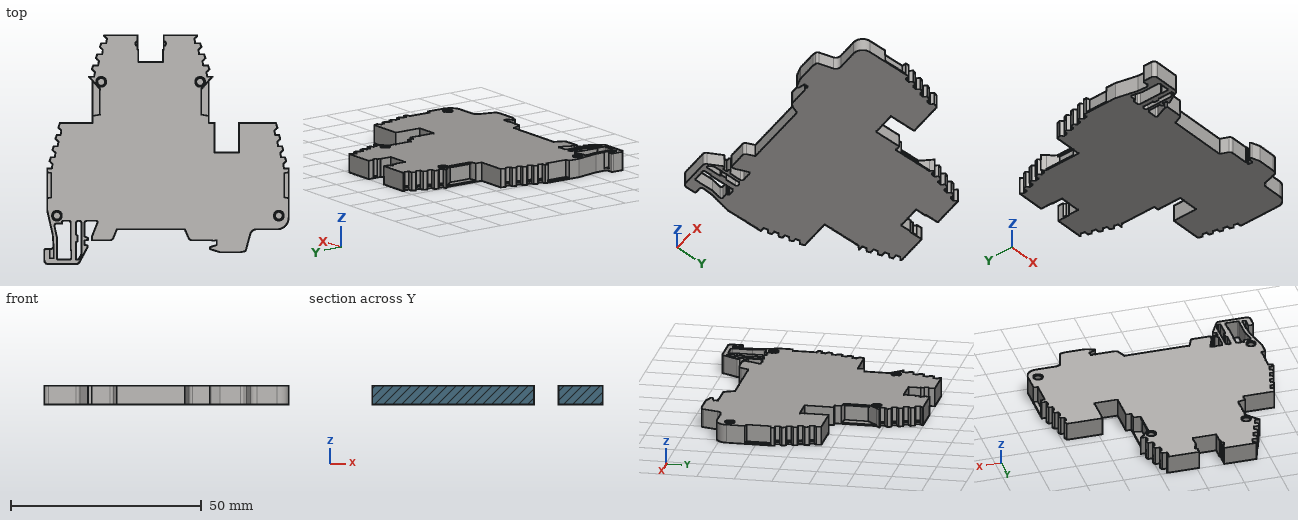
import cadquery as cq
import math

LENGTH = 64.03
HEIGHT = 60.0
THICKNESS = 5.0

UPPER_AXIS = 27.87
UPPER_HALF = 15.25
UPPER_FIRST_TIP = (12.26, 59.8)
UPPER_TOOTH_STEP = 1.05
UPPER_TOP_HALF = 12.1
POINT_HALF = 16.25
POINT_ROOT_Y = 48.1
UPPER_RECESS_HALF = 13.3
UPPER_RECESS_TOP = 45.9
UPPER_RECESS_BOTTOM = 39.15
UPPER_RECESS_END = 38.8

LOWER_HALF = 31.65
LOWER_AXIS = LENGTH - LOWER_HALF
LOWER_LEFT = LOWER_AXIS - LOWER_HALF
LOWER_TOP = 37.0
LOWER_FIRST_TIP = (28.7, 35.75)
LOWER_TOOTH_STEP = 0.77
LOWER_TOP_HALF = 28.3
LOWER_RECESS_DEPTH = 1.15
LOWER_RECESS_TOP = 24.1
LOWER_RECESS_BOTTOM = 17.25
LOWER_RECESS_SLANT = 0.25

TOOTH_COUNT = 4
TOOTH_PITCH = 2.92
TOOTH_LEAN = 0.35
THROAT_IN = 0.78
THROAT_DROP = 0.75
FOOT_IN = 0.58
FOOT_DROP = 1.9
GROOVE_DEPTH = 0.35
GROOVE_BOTTOM = 0.62
GROOVE_TOP = 1.04

RECESS_FLOOR = 0.4
UNDERCUT_DEPTH = 0.4
UNDERCUT_CEILING = 4.5

UPPER_SLOT_HALF = 3.42
UPPER_SLOT_LOWER_HALF = 3.22
UPPER_SLOT_STEP_Y = 56.2
UPPER_SLOT_BOTTOM = 53.0
SLOT_GROOVE_RADIUS = 0.6
SLOT_GROOVE_Y = 57.75
SLOT_GROOVE_FLOOR = 0.4
LOWER_SLOT_LEFT = 44.6
LOWER_SLOT_RIGHT = 50.95
LOWER_SLOT_BOTTOM = 29.3

HOLE_RADIUS = 1.0
HOLE_RIM_RADIUS = 1.3
HOLE_DEPTH = 2.0
UPPER_HOLE_HALF = 12.95
UPPER_HOLE_Y = 47.75
LOWER_HOLE_HALF = 29.05
LOWER_HOLE_Y = 12.7

BASE_Y = 9.1
RAIL_Y = 6.24
RAIL_RIDGE = 0.15
RIGHT_FOOT_Y = 3.1
RIGHT_SEAT_X = 45.15
LEFT_SEAT_X = 12.45
RAIL_ROUND = 1.0
RIGHT_FOOT_ROUND = 1.7
CORNER_ROUND = 3.1

ARM_ROOT_Y = 14.2
ARM_BEND_X = 2.2
ARM_BEND_Y = 7.7
ARM_X = 2.45
ARM_INNER_X = 3.35
ARM_INNER_TOP_X = 2.75
HOOK_ROUND = 1.05
TOE_ROUND = 1.15
POST_LEFT = 6.9
POST_FOOT_LEFT = 7.05
POST_RIGHT = 8.35
POST_BUMP_X = 8.75
SPRING_LEFT = 9.75
SPRING_RIGHT = 10.55
HOOK_TOP = 4.0
HOOK_FILLET = 0.75
HOOK_SLOT_LEFT = 1.5
HOOK_SLOT_BOTTOM = 1.5
HOOK_SLOT_FLOOR = 0.72
WINDOW_TOP = 11.35
WINDOW_BOTTOM = 1.25
WIDE_WINDOW_LEFT_TOP = 10.6
WIDE_WINDOW_ROUND = 0.3
NARROW_WINDOW_ROUND = 0.65
HOLE_WALL_END_X = 4.7
HOLE_WALL_RADIUS = 2.1


def rounded_outline(corners):
    """Closed wire through (x, y, radius) corners; a radius of 0 leaves the corner sharp."""
    path = None
    count = len(corners)
    for i, (x, y, radius) in enumerate(corners):
        if radius == 0:
            path = path.lineTo(x, y) if path else cq.Workplane("XY").moveTo(x, y)
            continue
        here = cq.Vector(x, y)
        before = (cq.Vector(*corners[i - 1][:2]) - here).normalized()
        after = (cq.Vector(*corners[(i + 1) % count][:2]) - here).normalized()
        half_angle = before.getAngle(after) / 2
        setback = radius / math.tan(half_angle)
        bisector = (before + after).normalized()
        start = here + before * setback
        middle = here + bisector * (radius / math.sin(half_angle) - radius)
        end = here + after * setback
        path = path.lineTo(start.x, start.y) if path else cq.Workplane("XY").moveTo(start.x, start.y)
        path = path.threePointArc((middle.x, middle.y), (end.x, end.y))
    return path.close()


def prism(wire, bottom, top):
    return wire.extrude(top - bottom).translate((0, 0, bottom))


def polygon_prism(points, bottom, top):
    return prism(cq.Workplane("XY").polyline(points).close(), bottom, top)


def both_sides(axis, points):
    """The outline given as (distance from axis, y), on the left and on the right of the axis."""
    return [[(axis + side * out, y) for out, y in points] for side in (-1, 1)]


def tooth_tips(first_tip, step):
    out, y = first_tip
    return [(out + i * step, y - i * TOOTH_PITCH) for i in range(TOOTH_COUNT)]


def flank(first_tip, step):
    """Toothed flank from the top down, as (distance from axis, y)."""
    points = []
    for out, y in tooth_tips(first_tip, step):
        if points:
            points.append((out - TOOTH_LEAN, y + TOOTH_PITCH - FOOT_DROP))
        points.append((out, y))
        points.append((out - THROAT_IN, y - THROAT_DROP))
        points.append((out - FOOT_IN, y - FOOT_DROP))
    return points


def upper_tier():
    flank_points = flank(UPPER_FIRST_TIP, UPPER_TOOTH_STEP)
    half = [(UPPER_TOP_HALF, HEIGHT)] + flank_points + [
        (POINT_HALF, flank_points[-1][1]),
        (UPPER_HALF, POINT_ROOT_Y),
        (UPPER_HALF, LOWER_TOP),
    ]
    left, right = both_sides(UPPER_AXIS, half)
    return polygon_prism(left + right[::-1], 0, THICKNESS)


def foot_corners():
    """Lower edge from the clip at the left to the rounded corner at the right."""
    return [
        (LOWER_LEFT, ARM_ROOT_Y, 0),
        (ARM_BEND_X, ARM_BEND_Y, 0),
        (ARM_X, HOOK_TOP, HOOK_FILLET),
        (0, HOOK_TOP, 0.4),
        (0, 0, HOOK_ROUND),
        (8.95, 0, TOE_ROUND),
        (11.65, 5.0, 0.4),
        (SPRING_RIGHT, 5.05, 0),
        (SPRING_RIGHT, 6.2, 0),
        (11.5, 6.35, 0.2),
        (11.5, 6.85, 0.2),
        (SPRING_RIGHT, 7.3, 0),
        (SPRING_RIGHT, WINDOW_TOP, 0.7),
        (14.1, WINDOW_TOP, 0.35),
        (LEFT_SEAT_X, 7.2, 0),
        (LEFT_SEAT_X, RAIL_Y, 0),
        (17.85, RAIL_Y, RAIL_ROUND),
        (19.05, BASE_Y, 0),
        (36.8, BASE_Y, 0),
        (38.05, RAIL_Y, RAIL_ROUND),
        (43.95, RAIL_Y, 0),
        (44.1, RAIL_Y - RAIL_RIDGE, 0),
        (44.6, RAIL_Y - RAIL_RIDGE, 0),
        (44.75, RAIL_Y, 0),
        (RIGHT_SEAT_X, RAIL_Y, 0),
        (RIGHT_SEAT_X, 5.05, 0),
        (42.55, 4.2, 0.35),
        (46.0, RIGHT_FOOT_Y, 0),
        (51.3, RIGHT_FOOT_Y, 0),
        (52.75, 3.37, 0.8),
        (54.3, BASE_Y, RIGHT_FOOT_ROUND),
        (LENGTH, BASE_Y, CORNER_ROUND),
    ]


def lower_tier():
    flank_points = flank(LOWER_FIRST_TIP, LOWER_TOOTH_STEP)
    half = [(LOWER_TOP_HALF, LOWER_TOP)] + flank_points + [(LOWER_HALF, flank_points[-1][1])]
    left, right = both_sides(LOWER_AXIS, half)
    outline = [(x, y, 0) for x, y in left] + foot_corners() + [(x, y, 0) for x, y in right[::-1]]
    return prism(rounded_outline(outline), 0, THICKNESS)


def throat_grooves(axis, first_tip, step):
    """Thin grooves that deepen each tooth throat near the bottom face."""
    ratio = THROAT_IN / THROAT_DROP
    grooves = cq.Workplane("XY")
    for out, y in tooth_tips(first_tip, step):
        groove = [
            (out - THROAT_IN, y - THROAT_DROP),
            (out - THROAT_IN - GROOVE_DEPTH, y - THROAT_DROP - GROOVE_DEPTH / ratio),
            (out - FOOT_IN - GROOVE_DEPTH, y - FOOT_DROP),
            (out - FOOT_IN, y - FOOT_DROP),
        ]
        for points in both_sides(axis, groove):
            grooves = grooves.add(polygon_prism(points, GROOVE_BOTTOM, GROOVE_TOP))
    return grooves.combine()


def upper_recesses():
    """Side recesses open at the top face, their inner wall undercut below a thin lip."""
    slope = (POINT_ROOT_Y - UPPER_RECESS_TOP) / (UPPER_HALF - UPPER_RECESS_HALF)
    undercut_half = UPPER_RECESS_HALF - UNDERCUT_DEPTH
    opening = [
        (UPPER_HALF, POINT_ROOT_Y),
        (UPPER_RECESS_HALF, UPPER_RECESS_TOP),
        (UPPER_RECESS_HALF, UPPER_RECESS_BOTTOM),
        (UPPER_HALF, UPPER_RECESS_END),
    ]
    undercut = [
        (UPPER_RECESS_HALF, UPPER_RECESS_TOP),
        (undercut_half, UPPER_RECESS_TOP - slope * UNDERCUT_DEPTH),
        (undercut_half, UPPER_RECESS_BOTTOM),
        (UPPER_RECESS_HALF, UPPER_RECESS_BOTTOM),
    ]
    recesses = cq.Workplane("XY")
    for points in both_sides(UPPER_AXIS, opening):
        recesses = recesses.add(polygon_prism(points, RECESS_FLOOR, THICKNESS))
    for points in both_sides(UPPER_AXIS, undercut):
        recesses = recesses.add(polygon_prism(points, RECESS_FLOOR, UNDERCUT_CEILING))
    return recesses.combine()


def lower_recesses():
    inner = LOWER_HALF - LOWER_RECESS_DEPTH
    opening = [
        (LOWER_HALF, LOWER_RECESS_TOP),
        (inner, LOWER_RECESS_TOP - LOWER_RECESS_SLANT),
        (inner, LOWER_RECESS_BOTTOM + LOWER_RECESS_SLANT),
        (LOWER_HALF, LOWER_RECESS_BOTTOM),
    ]
    recesses = cq.Workplane("XY")
    for points in both_sides(LOWER_AXIS, opening):
        recesses = recesses.add(polygon_prism(points, RECESS_FLOOR, THICKNESS))
    return recesses.combine()


def wire_slots():
    half = [
        (UPPER_SLOT_HALF, HEIGHT),
        (UPPER_SLOT_HALF, UPPER_SLOT_STEP_Y),
        (UPPER_SLOT_LOWER_HALF, UPPER_SLOT_STEP_Y),
        (UPPER_SLOT_LOWER_HALF, UPPER_SLOT_BOTTOM),
    ]
    left, right = both_sides(UPPER_AXIS, half)
    upper = polygon_prism(left + right[::-1], 0, THICKNESS)
    lower_corners = [
        (LOWER_SLOT_LEFT, LOWER_SLOT_BOTTOM),
        (LOWER_SLOT_RIGHT, LOWER_SLOT_BOTTOM),
        (LOWER_SLOT_RIGHT, LOWER_TOP),
        (LOWER_SLOT_LEFT, LOWER_TOP),
    ]
    lower = polygon_prism(lower_corners, 0, THICKNESS)
    walls = [(UPPER_AXIS + side * UPPER_SLOT_HALF, SLOT_GROOVE_Y) for side in (-1, 1)]
    grooves = prism(
        cq.Workplane("XY").pushPoints(walls).circle(SLOT_GROOVE_RADIUS), SLOT_GROOVE_FLOOR, THICKNESS
    )
    return upper.add(lower).add(grooves).combine()


def pin_holes():
    rim = HOLE_RIM_RADIUS - HOLE_RADIUS
    profile = [
        (0, THICKNESS),
        (HOLE_RIM_RADIUS, THICKNESS),
        (HOLE_RADIUS, THICKNESS - rim),
        (HOLE_RADIUS, THICKNESS - HOLE_DEPTH),
        (0, THICKNESS - HOLE_DEPTH),
    ]
    hole = cq.Workplane("XZ").polyline(profile).close().revolve(360, (0, 0, 0), (0, 1, 0))
    holes = cq.Workplane("XY")
    for side in (-1, 1):
        holes = holes.add(hole.translate((UPPER_AXIS + side * UPPER_HOLE_HALF, UPPER_HOLE_Y, 0)))
        holes = holes.add(hole.translate((LOWER_AXIS + side * LOWER_HOLE_HALF, LOWER_HOLE_Y, 0)))
    return holes.combine()


def foot_windows():
    """Two through windows that make the clip springy; the first leaves a round wall at the pin hole."""
    wide = rounded_outline([
        (ARM_INNER_TOP_X, WIDE_WINDOW_LEFT_TOP, 0.35),
        (HOLE_WALL_END_X, WIDE_WINDOW_LEFT_TOP, 0),
        (HOLE_WALL_END_X, WINDOW_TOP, 0),
        (POST_LEFT, WINDOW_TOP, 0.5),
        (POST_LEFT, 3.7, 0),
        (POST_FOOT_LEFT, 3.6, 0),
        (POST_FOOT_LEFT, WINDOW_BOTTOM, WIDE_WINDOW_ROUND),
        (ARM_INNER_X, WINDOW_BOTTOM, WIDE_WINDOW_ROUND),
        (ARM_INNER_X, 7.0, 0),
        (ARM_INNER_TOP_X, 9.9, 0),
    ])
    hole_x = LOWER_AXIS - LOWER_HOLE_HALF
    hole_wall = cq.Workplane("XY").center(hole_x, LOWER_HOLE_Y).circle(HOLE_WALL_RADIUS)
    narrow = rounded_outline([
        (POST_RIGHT, WINDOW_TOP, NARROW_WINDOW_ROUND),
        (SPRING_LEFT, WINDOW_TOP, NARROW_WINDOW_ROUND),
        (SPRING_LEFT, 2.65, 0),
        (8.95, WINDOW_BOTTOM, 0),
        (POST_RIGHT, WINDOW_BOTTOM, 0),
        (POST_RIGHT, 5.75, 0),
        (POST_BUMP_X, 6.0, 0),
        (POST_BUMP_X, 7.45, 0),
        (POST_RIGHT, 7.8, 0),
    ])
    wide_window = prism(wide, 0, THICKNESS).cut(prism(hole_wall, 0, THICKNESS))
    return wide_window.add(prism(narrow, 0, THICKNESS)).combine()


def hook_slot():
    points = [
        (HOOK_SLOT_LEFT, HOOK_SLOT_BOTTOM),
        (ARM_X, HOOK_SLOT_BOTTOM),
        (ARM_X, HOOK_TOP + HOOK_FILLET),
        (HOOK_SLOT_LEFT, HOOK_TOP + HOOK_FILLET),
    ]
    return polygon_prism(points, HOOK_SLOT_FLOOR, THICKNESS)


result = upper_tier().union(lower_tier())
result = result.cut(throat_grooves(UPPER_AXIS, UPPER_FIRST_TIP, UPPER_TOOTH_STEP))
result = result.cut(throat_grooves(LOWER_AXIS, LOWER_FIRST_TIP, LOWER_TOOTH_STEP))
result = result.cut(upper_recesses())
result = result.cut(lower_recesses())
result = result.cut(wire_slots())
result = result.cut(pin_holes())
result = result.cut(foot_windows())
result = result.cut(hook_slot())